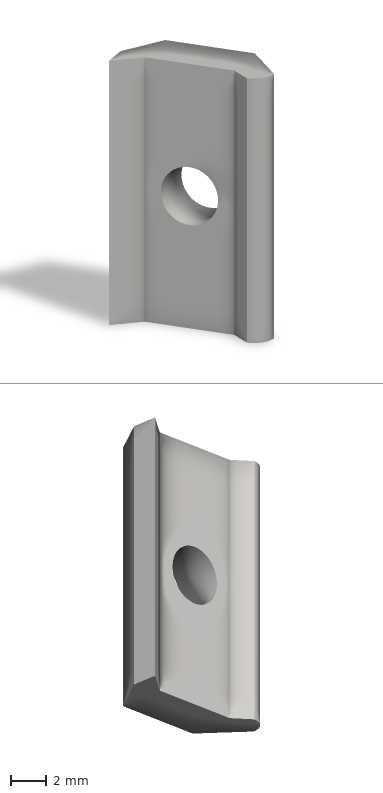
import cadquery as cq

length = 16.0
width = 9.42
depth = 4.3

flat_start = 1.65
flat_width = 5.5
shoulder_height = 1.7
recess_height = 1.3
lip_x = 8.27
lip_height = 0.45
lip_radius = 1.2

hole_diameter = 3.5

flat_end = flat_start + flat_width


def make_bar():
    """Extrude the cross-section along Z, centred on Z = 0."""
    return (
        cq.Workplane("XY")
        .workplane(offset=-length / 2)
        .moveTo(0, 0)
        .lineTo(0, shoulder_height)
        .lineTo(flat_start, depth)
        .lineTo(flat_end, depth)
        .lineTo(width, shoulder_height)
        .radiusArc((lip_x, lip_height), lip_radius)
        .lineTo(flat_end, recess_height)
        .lineTo(flat_start, recess_height)
        .close()
        .extrude(length)
    )


def make_hole():
    """Through hole along Y, centred on the flats and on the length."""
    hole_x = flat_start + flat_width / 2
    return (
        cq.Workplane("XZ")
        .center(hole_x, 0)
        .circle(hole_diameter / 2)
        .extrude(-depth)
    )


result = make_bar().cut(make_hole())